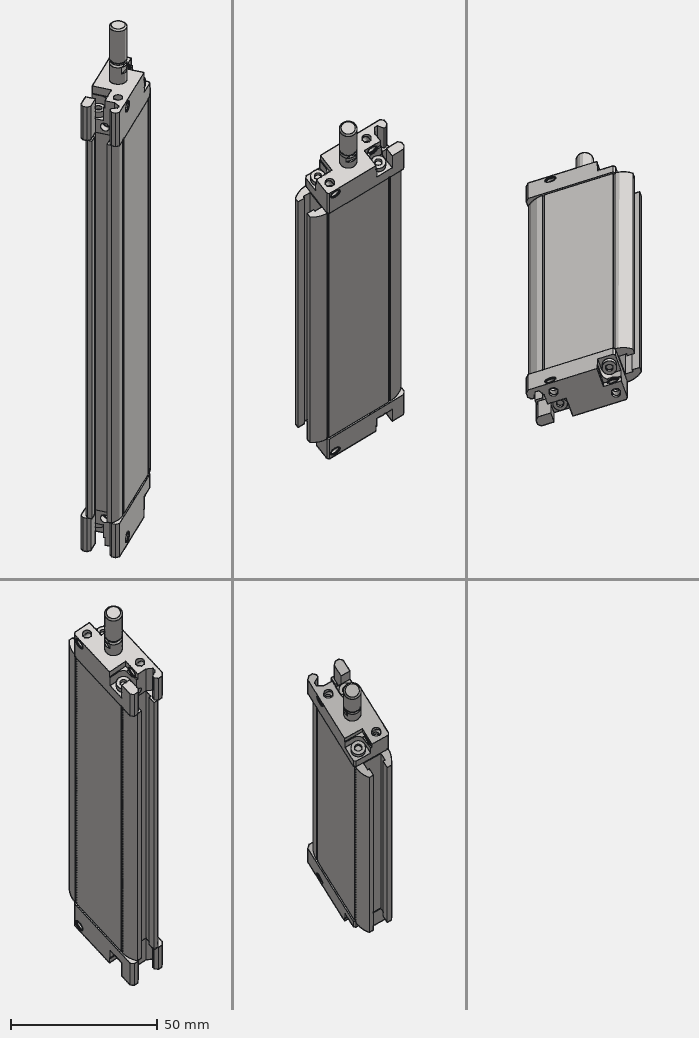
import math

import cadquery as cq

total_length = 210.0
cap_height = 14.0
rod_protrusion = 22.9
head_top = total_length - rod_protrusion
barrel_length = head_top - 2 * cap_height

cap_width = 14.0
cap_back = 13.2
cap_front = 19.1
cap_back_chamfer = 0.6
slot_width = 7.0
slot_floor = 13.5
tip_chamfer = 1.0
groove_depth = 2.0
groove_start = 13.5
groove_end = 17.2
groove_flat = 1.3

screw_x = 3.5
screw_y = 10.0
thread_diameter = 3.2
thread_depth = 3.0
thread_core_diameter = 2.5
thread_core_depth = 6.0
pocket_inner_y = 6.7
pocket_depth = 3.2
counterbore_diameter = 6.0
counterbore_depth = 8.5
screw_head_diameter = 5.0
screw_head_height = 2.3
socket_diameter = 2.5
socket_depth = 1.5

cross_hole_diameter = 3.2
cross_hole_depth = 3.0
cross_mouth_diameter = 4.0
cross_mouth_depth = 0.5
port_diameter = 3.2
port_depth = 2.5
port_core_diameter = 2.5
port_core_depth = 4.2
port_from_end = 11.1

barrel_width = 13.0
barrel_half_depth = 19.0
side_flat_half = 12.4
side_groove_width = 0.6
side_groove_depth = 0.32
tip_outer_x = 4.5
lip_x = 2.7
lip_height = 2.7

rod_diameter = 6.0
rod_chamfer = 0.6
thread_length = 14.0
neck_diameter = 4.8
neck_length = 1.9
flat_spacing = 4.8
flat_length = 2.7
flat_turn = 10


def box_between(x, y, z):
    """Box spanning the given (low, high) pair along each axis."""
    size = (x[1] - x[0], y[1] - y[0], z[1] - z[0])
    return cq.Workplane("XY").box(*size, centered=False).translate((x[0], y[0], z[0]))


def cylinder_down(x, y, top, diameter, depth):
    """Upright cylinder reaching down by depth from the height top."""
    return cq.Workplane("XY", origin=(x, y, top - depth)).circle(diameter / 2).extrude(depth)


def half_turn(shape):
    return shape.rotate((0, 0, 0), (0, 0, 1), 180)


def cap_block():
    """Block with a slot between two front arms whose tips are chamfered on both edges."""
    outer = cap_width / 2
    inner = slot_width / 2
    shoulder = -cap_front + tip_chamfer
    right_half = [
        (0, cap_back),
        (outer - cap_back_chamfer, cap_back),
        (outer, cap_back - cap_back_chamfer),
        (outer, shoulder),
        (outer - tip_chamfer, -cap_front),
        (inner + tip_chamfer, -cap_front),
        (inner, shoulder),
        (inner, -slot_floor),
        (0, -slot_floor),
    ]
    half = cq.Workplane("XY").polyline(right_half).close().extrude(cap_height)
    return half.union(half.mirror("YZ"))


def arm_groove():
    """Groove with sloping flanks and a flat bottom in the inner wall of the +X arm."""
    inner = slot_width / 2
    middle = (groove_start + groove_end) / 2
    outline = [
        (inner, -groove_start),
        (inner + groove_depth, -middle + groove_flat / 2),
        (inner + groove_depth, -middle - groove_flat / 2),
        (inner, -groove_end),
    ]
    return cq.Workplane("XY").polyline(outline).close().extrude(cap_height)


def screw_pocket(outer_y):
    """Corner pocket on the -X, -Y screw, open to the side and out to -outer_y."""
    side = -cap_width / 2
    radius = counterbore_diameter / 2
    floor = cap_height - counterbore_depth
    upper = box_between((side, 0), (-outer_y, -pocket_inner_y), (cap_height - pocket_depth, cap_height))
    bore = cylinder_down(-screw_x, -screw_y, cap_height, counterbore_diameter, counterbore_depth)
    side_opening = box_between((side, -screw_x), (-screw_y - radius, -screw_y + radius), (floor, cap_height))
    end_opening = box_between((side, -screw_x + radius), (-outer_y, -screw_y), (floor, cap_height))
    return upper.union(bore).union(side_opening).union(end_opening)


def screw_head():
    """Socket head standing on the floor of the -X, -Y pocket."""
    top = cap_height - counterbore_depth + screw_head_height
    head = cylinder_down(-screw_x, -screw_y, top, screw_head_diameter, screw_head_height)
    return head.cut(cylinder_down(-screw_x, -screw_y, top, socket_diameter, socket_depth))


def cross_hole(y, outer_x):
    """Hole along X, widened where it opens on the cap side outer_x and on the pocket wall at X = 0."""
    inward = -math.copysign(cross_mouth_depth, outer_x)
    plane = cq.Workplane("YZ").center(y, cap_height - cross_hole_depth)
    hole = plane.circle(cross_hole_diameter / 2).extrude(cap_width / 2, both=True)
    outer_mouth = plane.circle(cross_mouth_diameter / 2).extrude(inward).translate((outer_x, 0, 0))
    pocket_mouth = plane.circle(cross_mouth_diameter / 2).extrude(-inward)
    return hole.union(outer_mouth).union(pocket_mouth)


def cross_holes():
    """One hole per pocket, opening on the opposite side of the cap."""
    side = cap_width / 2
    return cross_hole(-screw_y, side).union(cross_hole(screw_y, -side))


def screw_holes():
    """Stepped blind holes at the two screw positions without a pocket."""
    holes = cq.Workplane("XY")
    for side in (-1, 1):
        for diameter, depth in ((thread_diameter, thread_depth), (thread_core_diameter, thread_core_depth)):
            holes = holes.add(cylinder_down(-side * screw_x, side * screw_y, cap_height, diameter, depth))
    return holes.combine()


def air_port():
    """Stepped blind port in the slot floor."""
    plane = cq.Workplane("XZ", origin=(0, -slot_floor, cap_height - port_from_end))
    mouth = plane.circle(port_diameter / 2).extrude(-port_depth)
    return mouth.union(plane.circle(port_core_diameter / 2).extrude(-port_core_depth))


def make_cap():
    """Cap with its pocketed face up and its barrel face at Z = 0."""
    cap = cap_block().cut(arm_groove())
    cap = cap.cut(screw_pocket(slot_floor)).cut(half_turn(screw_pocket(cap_back)))
    cap = cap.union(screw_head()).union(half_turn(screw_head()))
    return cap.cut(screw_holes()).cut(cross_holes()).cut(air_port())


def make_head_cap():
    """Upper cap, bored through for the rod."""
    rod_bore = cylinder_down(0, 0, cap_height, rod_diameter, cap_height)
    return make_cap().cut(rod_bore).translate((0, 0, head_top - cap_height))


def make_end_cap():
    """Lower cap, the same shape turned upside down by mirroring."""
    return make_cap().mirror("XY").translate((0, 0, cap_height))


def make_barrel():
    """Extrusion with flat sides, rounded rails and a lipped slot at each end of its depth."""
    side = barrel_width / 2
    inner = slot_width / 2
    lip_start = barrel_half_depth - lip_height
    groove_top = side_flat_half + side_groove_width
    arc_rise = barrel_half_depth - groove_top
    arc_run = side - tip_outer_x
    arc_radius = (arc_rise**2 + arc_run**2) / (2 * arc_run)
    middle_angle = math.asin(arc_rise / arc_radius) / 2
    arc_middle = (
        side - arc_radius * (1 - math.cos(middle_angle)),
        groove_top + arc_radius * math.sin(middle_angle),
    )
    quarter = (
        cq.Workplane("XY")
        .lineTo(side, 0)
        .lineTo(side, side_flat_half)
        .lineTo(side - side_groove_depth, side_flat_half)
        .lineTo(side - side_groove_depth, groove_top)
        .lineTo(side, groove_top)
        .threePointArc(arc_middle, (tip_outer_x, barrel_half_depth))
        .lineTo(lip_x, barrel_half_depth)
        .lineTo(lip_x, lip_start)
        .lineTo(inner, lip_start)
        .lineTo(inner, slot_floor)
        .lineTo(0, slot_floor)
        .close()
        .extrude(barrel_length)
    )
    half = quarter.union(quarter.mirror("YZ"))
    return half.union(half.mirror("XZ")).translate((0, 0, cap_height))


def make_rod():
    """Rod with a chamfered threaded end, a tapered neck below it and two wrench flats."""
    rod_bottom = head_top - cap_height
    rod = cylinder_down(0, 0, total_length, rod_diameter, total_length - rod_bottom)
    rod = rod.faces(">Z").chamfer(rod_chamfer)
    neck_top = total_length - thread_length
    neck_bottom = neck_top - neck_length
    radius = rod_diameter / 2
    taper = radius - neck_diameter / 2
    neck_profile = [
        (radius, neck_top),
        (radius - taper, neck_top - taper),
        (radius - taper, neck_bottom + taper),
        (radius, neck_bottom),
    ]
    rod = rod.cut(cq.Workplane("XZ").polyline(neck_profile).close().revolve(360, (0, 0), (0, 1)))
    flat = box_between(
        (flat_spacing / 2, rod_diameter),
        (-rod_diameter, rod_diameter),
        (neck_bottom - flat_length, neck_bottom),
    )
    flat = flat.rotate((0, 0, 0), (0, 0, 1), -flat_turn)
    return rod.cut(flat).cut(half_turn(flat))


barrel = make_barrel()
head_cap = make_head_cap()
end_cap = make_end_cap()
rod = make_rod()
result = cq.Compound.makeCompound([barrel.val(), head_cap.val(), end_cap.val(), rod.val()])